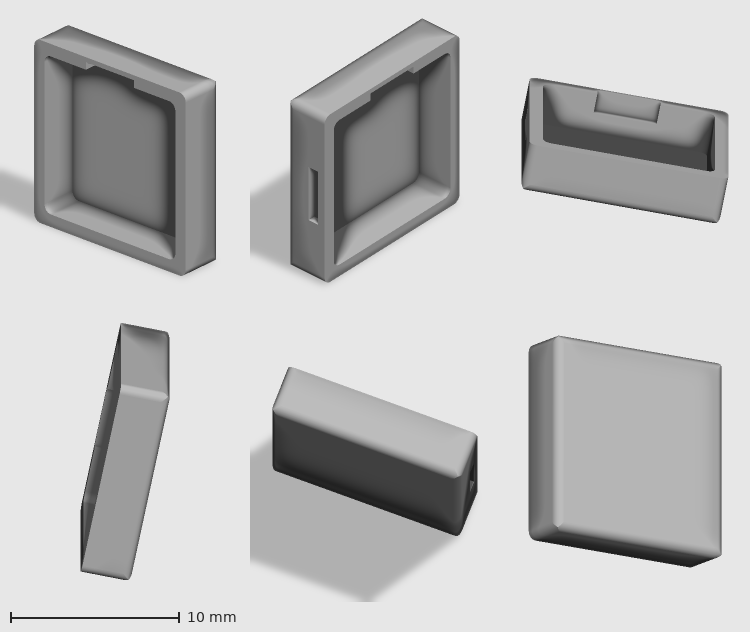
import cadquery as cq

side = 11.99
thickness = 3.0
edge_radius = 0.5

wall = 0.82
floor_thickness = 0.5
cavity_side = side - 2 * wall
cavity_depth = thickness - floor_thickness
cavity_corner_radius = 0.5

recess_length = 3.8
notch_height = 0.5
pocket_depth = 0.5
pocket_width = 0.74
pocket_front_offset = 0.53
notch_depth = pocket_front_offset + pocket_width

front_y = -thickness / 2


def make_outer_body():
    """Three rounded prisms intersected, so the edge rounds meet in mitres at the back corners."""
    block = cq.Workplane("XY").box(side, thickness, side)
    rounded_along_y = block.edges("|Y").fillet(edge_radius)
    rounded_along_x = block.edges(">Y and |X").fillet(edge_radius)
    rounded_along_z = block.edges(">Y and |Z").fillet(edge_radius)
    return rounded_along_y.intersect(rounded_along_x).intersect(rounded_along_z)


def make_cavity():
    """Square hollow with rounded corners, reaching from the open front to the floor."""
    cavity = cq.Workplane("XY").box(cavity_side, cavity_depth, cavity_side)
    cavity = cavity.edges("|Y").fillet(cavity_corner_radius)
    return cavity.translate((0, front_y + cavity_depth / 2, 0))


def make_notch():
    """Notch above the cavity, open to the front and ending level with the back of the side pocket."""
    notch = cq.Workplane("XY").box(recess_length, notch_depth, notch_height)
    notch_z = cavity_side / 2 + notch_height / 2
    return notch.translate((0, front_y + notch_depth / 2, notch_z))


def make_side_pocket():
    """Blind upright pocket in the outside of the -X wall."""
    pocket = cq.Workplane("XY").box(pocket_depth, pocket_width, recess_length)
    pocket_x = -side / 2 + pocket_depth / 2
    pocket_y = front_y + pocket_front_offset + pocket_width / 2
    return pocket.translate((pocket_x, pocket_y, 0))


result = make_outer_body().cut(make_cavity()).cut(make_notch()).cut(make_side_pocket())